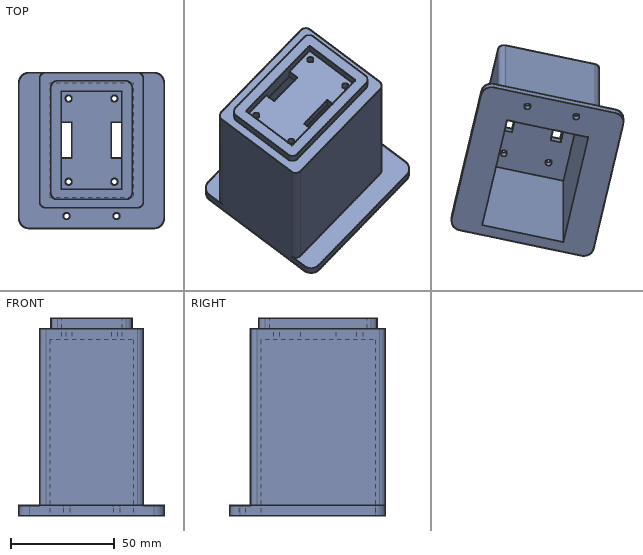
import cadquery as cq

WALL = 5.0

BASE_X = 70.0
BASE_Y = 75.0
BASE_HEIGHT = 5.0
BASE_CORNER_RADIUS = 5.0

TOWER_X = 50.0
TOWER_Y = 65.0
TOWER_HEIGHT = 85.0
CORNER_RADIUS = 3.0
TOWER_CENTRE_Y = (BASE_Y - TOWER_Y) / 2
TOWER_TOP = BASE_HEIGHT + TOWER_HEIGHT

CAVITY_X = TOWER_X - 2 * WALL
CAVITY_Y = TOWER_Y - 2 * WALL
CAVITY_HEIGHT = TOWER_TOP - WALL

RECESS_X = 29.0
RECESS_Y = 47.0

RIM_X = RECESS_X + 2 * WALL
RIM_Y = RECESS_Y + 2 * WALL
RIM_HEIGHT = 5.0

SLOT_X = 5.0
SLOT_Y = 17.0
SLOT_CENTRE_X = (RECESS_X - SLOT_X) / 2

HOLE_DIAMETER = 3.0
ROOF_HOLE_PITCH_X = 22.0
ROOF_HOLE_PITCH_Y = 40.0
BASE_HOLE_PITCH_X = 24.0
BASE_HOLE_EDGE_DISTANCE = 6.0
BASE_HOLE_Y = -BASE_Y / 2 + BASE_HOLE_EDGE_DISTANCE


def block(size_x, size_y, height, centre_x, centre_y, bottom):
    """Upright rectangular block standing on the level `bottom`."""
    plane = cq.Workplane("XY", origin=(centre_x, centre_y, bottom))
    return plane.rect(size_x, size_y).extrude(height)


def rounded_block(size_x, size_y, height, radius, centre_y, bottom):
    """Block on the X = 0 plane of symmetry with rounded vertical edges."""
    return block(size_x, size_y, height, 0, centre_y, bottom).edges("|Z").fillet(radius)


def outer_body():
    base = rounded_block(BASE_X, BASE_Y, BASE_HEIGHT, BASE_CORNER_RADIUS, 0, 0)
    tower = rounded_block(TOWER_X, TOWER_Y, TOWER_HEIGHT, CORNER_RADIUS, TOWER_CENTRE_Y, BASE_HEIGHT)
    rim = rounded_block(RIM_X, RIM_Y, RIM_HEIGHT, CORNER_RADIUS, TOWER_CENTRE_Y, TOWER_TOP)
    return base.union(tower).union(rim)


def cavity():
    return block(CAVITY_X, CAVITY_Y, CAVITY_HEIGHT, 0, TOWER_CENTRE_Y, 0)


def recess():
    return block(RECESS_X, RECESS_Y, RIM_HEIGHT, 0, TOWER_CENTRE_Y, TOWER_TOP)


def roof_slots():
    left = block(SLOT_X, SLOT_Y, WALL, -SLOT_CENTRE_X, TOWER_CENTRE_Y, CAVITY_HEIGHT)
    return left.union(left.mirror("YZ"))


def roof_holes():
    plane = cq.Workplane("XY", origin=(0, TOWER_CENTRE_Y, CAVITY_HEIGHT))
    centres = plane.rect(ROOF_HOLE_PITCH_X, ROOF_HOLE_PITCH_Y, forConstruction=True).vertices()
    return centres.circle(HOLE_DIAMETER / 2).extrude(WALL)


def base_holes():
    half_pitch = BASE_HOLE_PITCH_X / 2
    centres = [(-half_pitch, BASE_HOLE_Y), (half_pitch, BASE_HOLE_Y)]
    return cq.Workplane("XY").pushPoints(centres).circle(HOLE_DIAMETER / 2).extrude(BASE_HEIGHT)


result = outer_body()
for cutter in (cavity(), recess(), roof_slots(), roof_holes(), base_holes()):
    result = result.cut(cutter)